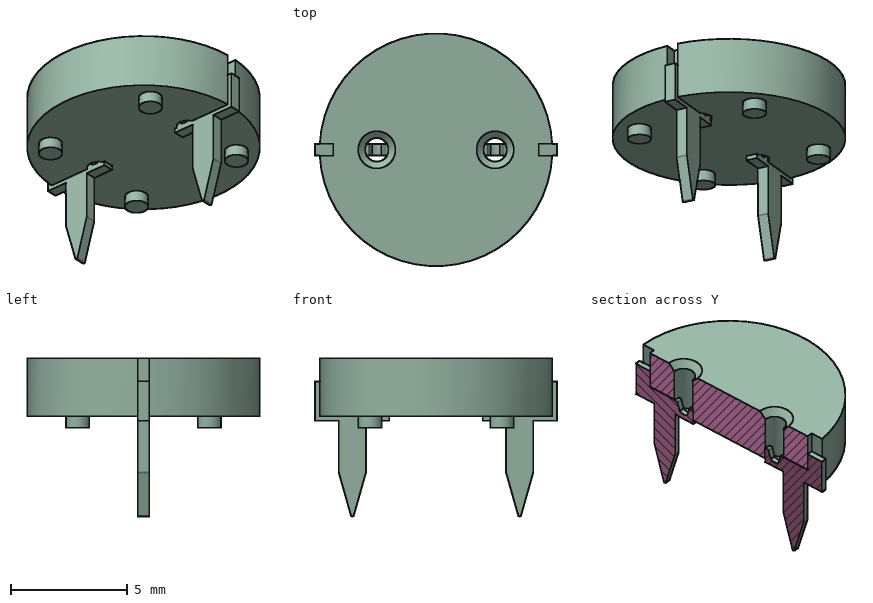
import cadquery as cq
import math

disc_radius = 5.0
disc_height = 2.5

foot_radius = 0.5
foot_height = 0.5
foot_circle_radius = 4.0
foot_count = 4
first_foot_angle = 45.0

hole_offset = 2.54
hole_diameter = 1.0
sink_diameter = 1.6
sink_angle = 90.0

pin_thickness = 0.5
pin_outer_x = 5.2
pin_inner_x = 2.0
strip_width = 0.8
pin_upright_top = 1.5
pin_arm_bottom = -0.2
pin_arm_top = pin_arm_bottom + strip_width
upright_inner_x = pin_outer_x - strip_width

leg_center_x = 3.59
leg_half_width = 0.59
taper_start_z = -2.4
tip_z = -4.3
tip_radius = 0.07
shoulder_radius = 0.1

groove_half_width = 0.34
groove_floor_half_width = 0.2
groove_wall_angle = 73.0
groove_floor_radius = 0.35
groove_lip_radius = 0.04


def make_housing():
    disc = cq.Workplane("XY").circle(disc_radius).extrude(disc_height)
    feet = (
        cq.Workplane("XY")
        .polarArray(foot_circle_radius, first_foot_angle, 360, foot_count)
        .circle(foot_radius)
        .extrude(-foot_height)
    )
    housing = (
        disc.union(feet)
        .faces(">Z")
        .workplane(origin=(0, 0, disc_height))
        .pushPoints([(-hole_offset, 0), (hole_offset, 0)])
        .cskHole(hole_diameter, sink_diameter, sink_angle)
    )
    for side in (-1, 1):
        housing = housing.cut(make_pin_slot(side))
    return housing.solids()


def make_pin_slot(side):
    """Full-height edge notch for the upright, joined to a low slot for the arm."""
    length = pin_outer_x - pin_inner_x
    notch = (
        cq.Workplane("XY")
        .center(side * (pin_outer_x - strip_width / 2), 0)
        .rect(strip_width, pin_thickness)
        .extrude(disc_height)
    )
    arm_slot = (
        cq.Workplane("XY")
        .center(side * (pin_inner_x + length / 2), 0)
        .rect(length, pin_thickness)
        .extrude(pin_arm_top)
    )
    return notch.union(arm_slot)


def extrude_pin_profile(profile):
    return profile.extrude(pin_thickness / 2, both=True)


def make_leg():
    tip_center_z = tip_z + tip_radius
    taper_length = taper_start_z - tip_center_z
    corner_distance = math.hypot(leg_half_width, taper_length)
    taper_angle = math.atan2(leg_half_width, taper_length) - math.asin(tip_radius / corner_distance)
    touch_x = tip_radius * math.cos(taper_angle)
    touch_z = tip_center_z - tip_radius * math.sin(taper_angle)

    leg = extrude_pin_profile(
        cq.Workplane("XZ")
        .moveTo(leg_center_x - leg_half_width, pin_arm_bottom)
        .lineTo(leg_center_x - leg_half_width, taper_start_z)
        .lineTo(leg_center_x - touch_x, touch_z)
        .threePointArc((leg_center_x, tip_z), (leg_center_x + touch_x, touch_z))
        .lineTo(leg_center_x + leg_half_width, taper_start_z)
        .lineTo(leg_center_x + leg_half_width, pin_arm_bottom)
        .close()
    )
    shoulders = cq.selectors.BoxSelector(
        (leg_center_x - leg_half_width - shoulder_radius, -pin_thickness, taper_start_z - shoulder_radius),
        (leg_center_x + leg_half_width + shoulder_radius, pin_thickness, taper_start_z + shoulder_radius),
    )
    return leg.edges("|Y").edges(shoulders).fillet(shoulder_radius)


def make_bracket():
    """L-shaped upper part of the pin, with the groove in its arm."""
    wall_run = groove_half_width - groove_floor_half_width
    floor_edge_z = pin_arm_top - wall_run * math.tan(math.radians(groove_wall_angle))
    floor_sag = groove_floor_radius - math.sqrt(groove_floor_radius**2 - groove_floor_half_width**2)

    bracket = extrude_pin_profile(
        cq.Workplane("XZ")
        .moveTo(pin_outer_x, pin_arm_bottom)
        .lineTo(pin_outer_x, pin_upright_top)
        .lineTo(upright_inner_x, pin_upright_top)
        .lineTo(upright_inner_x, pin_arm_top)
        .lineTo(hole_offset + groove_half_width, pin_arm_top)
        .lineTo(hole_offset + groove_floor_half_width, floor_edge_z)
        .threePointArc(
            (hole_offset, floor_edge_z - floor_sag),
            (hole_offset - groove_floor_half_width, floor_edge_z),
        )
        .lineTo(hole_offset - groove_half_width, pin_arm_top)
        .lineTo(pin_inner_x, pin_arm_top)
        .lineTo(pin_inner_x, pin_arm_bottom)
        .close()
    )
    groove_lips = cq.selectors.BoxSelector(
        (hole_offset - groove_half_width - groove_lip_radius, -pin_thickness, pin_arm_top - groove_lip_radius),
        (hole_offset + groove_half_width + groove_lip_radius, pin_thickness, pin_arm_top + groove_lip_radius),
    )
    return bracket.edges("|Y").edges(groove_lips).fillet(groove_lip_radius)


def make_pin(side):
    pin = make_bracket().union(make_leg())
    if side < 0:
        pin = pin.mirror("YZ")
    return pin.solids()


housing = make_housing()
pins = [make_pin(side) for side in (-1, 1)]

result = cq.Compound.makeCompound([housing.val(), *[pin.val() for pin in pins]])